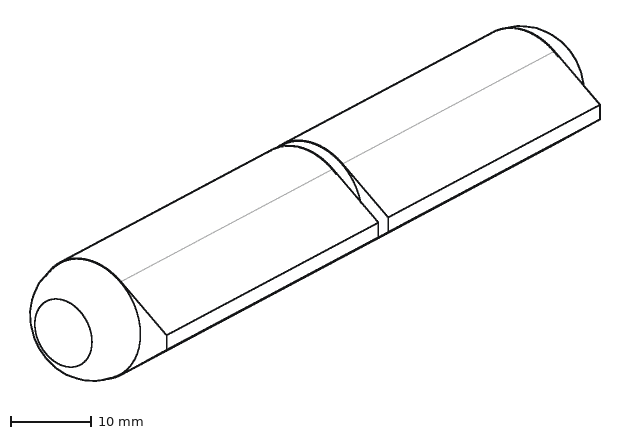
import cadquery as cq
import math

total_length = 100.0
barrel_radius = 8.0
barrel_gap = 2.0
tip_reach = 12.0
tip_half_height = 1.0
pin_radius = 15.8 / 2
dome_height = 5.5
end_flat_radius = 4.5

half_length = total_length / 2
dome_start = half_length - dome_height
barrel_length = dome_start - barrel_gap / 2

dome_inset = pin_radius - end_flat_radius
dome_arc_radius = (dome_inset**2 + dome_height**2) / (2 * dome_inset)

tip_distance = math.hypot(tip_reach, tip_half_height)
tangent_angle = math.atan2(tip_half_height, tip_reach) + math.acos(barrel_radius / tip_distance)
tangent_x = barrel_radius * math.cos(tangent_angle)
tangent_z = barrel_radius * math.sin(tangent_angle)


def make_barrel(start_y):
    """Teardrop barrel extending in +Y from start_y."""
    return (
        cq.Workplane("XZ", origin=(0, start_y, 0))
        .moveTo(tangent_x, tangent_z)
        .lineTo(tip_reach, tip_half_height)
        .lineTo(tip_reach, -tip_half_height)
        .lineTo(tangent_x, -tangent_z)
        .threePointArc((-barrel_radius, 0), (tangent_x, tangent_z))
        .close()
        .extrude(-barrel_length)
    )


def make_pin():
    """Round pin whose domes leave its side tangentially and stop at flat ends."""
    return (
        cq.Workplane("XY")
        .moveTo(0, -half_length)
        .lineTo(end_flat_radius, -half_length)
        .radiusArc((pin_radius, -dome_start), -dome_arc_radius)
        .lineTo(pin_radius, dome_start)
        .radiusArc((end_flat_radius, half_length), -dome_arc_radius)
        .lineTo(0, half_length)
        .close()
        .revolve(360, (0, 0), (0, 1))
    )


result = make_pin()
for start_y in (-dome_start, barrel_gap / 2):
    result = result.union(make_barrel(start_y))